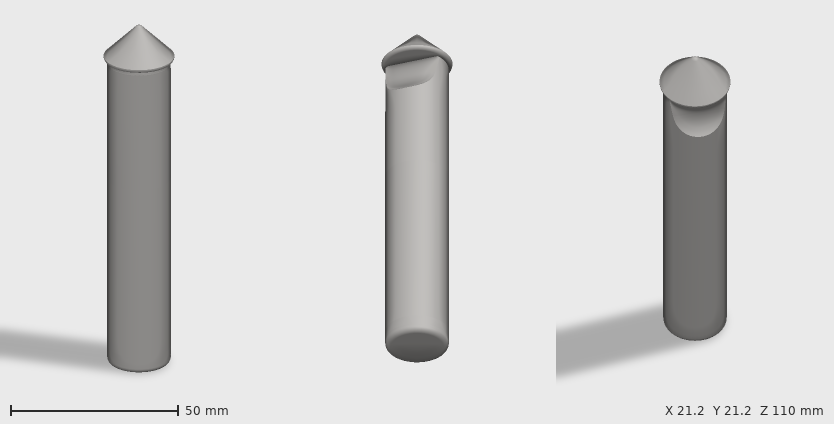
import cadquery as cq
import math

total_height = 110.0
body_radius = 9.5
cap_radius = 10.6

base_top = 2.4
ring_top = 5.3
tube_joint = 60.1
tube_top = 98.8

base_fillet = 1.5
tube_top_fillet = 1.1
rim_fillet = 1.0

rim_top = 100.0
cone_angle = math.radians(45)
cone_apex = rim_top + cap_radius * math.tan(cone_angle)
tip_radius = (cone_apex - total_height) / (1 / math.cos(cone_angle) - 1)

scoop_radius = 10.4
scoop_center_y = 15.4
scoop_center_z = 94.6
scoop_lean = math.radians(14)


def cylinder(bottom, top):
    return cq.Workplane("XY").workplane(offset=bottom).circle(body_radius).extrude(top - bottom)


def make_base():
    return cylinder(0, base_top).faces("<Z").edges().fillet(base_fillet)


def make_ring():
    return cylinder(base_top, ring_top)


def make_lower_tube():
    return cylinder(ring_top, tube_joint)


def scoop_cutter():
    def arc_point(angle):
        """Point (y, z) on the round bottom, angle measured from straight -Y towards -Z."""
        return (
            scoop_center_y - scoop_radius * math.cos(angle),
            scoop_center_z - scoop_radius * math.sin(angle),
        )

    wall_foot_y, wall_foot_z = arc_point(scoop_lean)
    wall_top_y = wall_foot_y - (tube_top - wall_foot_z) * math.tan(scoop_lean)
    arc_middle = (scoop_lean + math.pi / 2) / 2
    return (
        cq.Workplane("YZ")
        .moveTo(wall_top_y, tube_top)
        .lineTo(wall_foot_y, wall_foot_z)
        .threePointArc(arc_point(arc_middle), arc_point(math.pi / 2))
        .lineTo(scoop_center_y, tube_top)
        .close()
        .extrude(body_radius, both=True)
    )


def make_upper_tube():
    tube = cylinder(tube_joint, tube_top).faces(">Z").edges().fillet(tube_top_fillet)
    return tube.cut(scoop_cutter())


def make_cap():
    tip_center_z = total_height - tip_radius

    def tip_point(angle):
        """Point (x, z) on the tip, angle measured from the axis."""
        return (tip_radius * math.sin(angle), tip_center_z + tip_radius * math.cos(angle))

    cap = (
        cq.Workplane("XZ")
        .moveTo(0, tube_top)
        .lineTo(cap_radius, tube_top)
        .lineTo(cap_radius, rim_top)
        .lineTo(*tip_point(cone_angle))
        .threePointArc(tip_point(cone_angle / 2), (0, total_height))
        .close()
        .revolve(360, (0, 0, 0), (0, 1, 0))
    )
    return cap.faces("<Z").edges().fillet(rim_fillet)


base = make_base()
ring = make_ring()
lower_tube = make_lower_tube()
upper_tube = make_upper_tube()
cap = make_cap()

result = cq.Compound.makeCompound(
    [base.val(), ring.val(), lower_tube.val(), *upper_tube.solids().vals(), cap.val()]
)